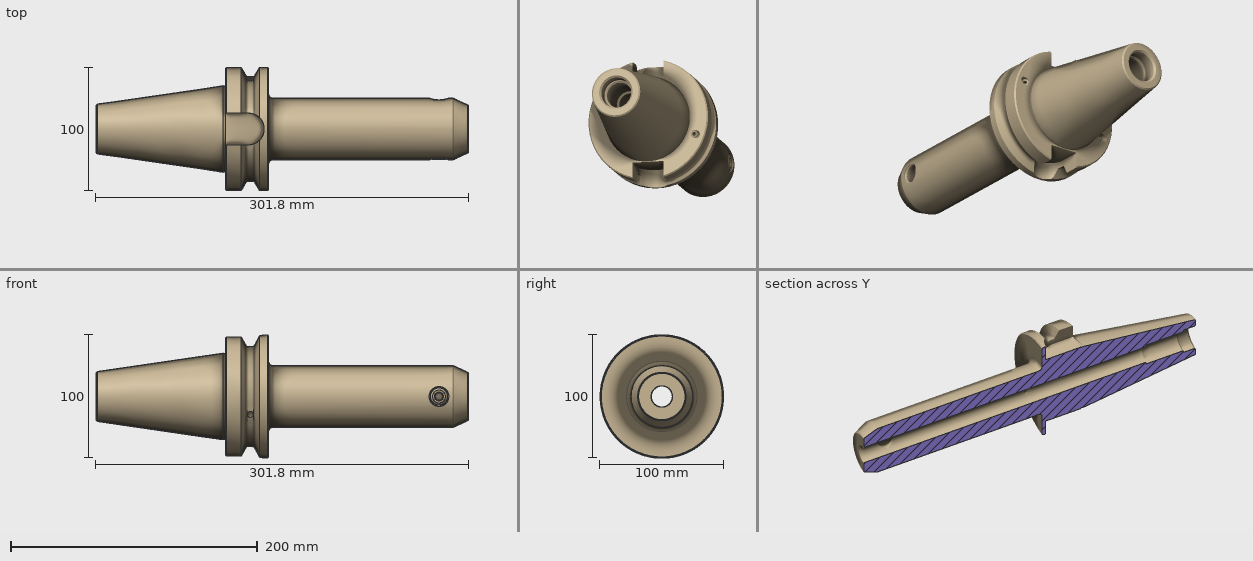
import cadquery as cq
import math


taper_length = 101.8
gauge_radius = 69.85 / 2
taper_slope = 7 / 24 / 2
taper_small_radius = gauge_radius - taper_length * taper_slope
taper_end_chamfer = 1.0
relief_start = 1.0
relief_floor_end = 2.0
relief_depth = 0.2
relief_edge_radius = gauge_radius + relief_start * taper_slope

flange_radius = 50.0
flange_start = 3.0
flange_end = 38.0
flange_chamfer = 1.0
groove_center = 23.2
groove_radius = 42.5
groove_floor_width = 6.2
groove_side_angle = 30.0
groove_corner_radius = 1.0
groove_half_floor = groove_floor_width / 2
groove_half_mouth = groove_half_floor + (flange_radius - groove_radius) * math.tan(
    math.radians(groove_side_angle)
)

slot_width = 25.7
slot_floor_height = 35.3
slot_end = 34.4

nose_length = 200.0
nose_radius = 25.0
nose_root_fillet = 3.5
nose_cone_start = 187.5
nose_shoulder_round = 1.5
nose_end_radius = 19.6
nose_end_chamfer = 0.8

bore_mouth_radius = 14.0
bore_mouth_chamfer = 1.5
pilot_radius = bore_mouth_radius - bore_mouth_chamfer
pilot_depth = 11.0
thread_radius = 10.5
thread_chamfer = 1.2
thread_depth = 45.0
tool_bore_radius = 8.5

coolant_angle = 20.0
coolant_circle_radius = 42.0
coolant_hole_diameter = 3.0
coolant_counterbore_diameter = 6.5
coolant_counterbore_depth = 2.0
coolant_tilt = 37.0
plug_hole_diameter = 5.0

screw_x = 176.0
screw_radius = 7.0
screw_hole_countersink_radius = 8.0
screw_countersink_depth = 1.3
screw_recess = 0.4
screw_end_chamfer = 1.8
hex_across_flats = 6.0
hex_depth = 6.0
socket_mouth_radius = 3.6


def holder_blank():
    """Solid of revolution: taper, flange and nose."""
    profile = (
        cq.Workplane("XZ")
        .moveTo(-taper_length, 0)
        .lineTo(-taper_length, taper_small_radius - taper_end_chamfer)
        .lineTo(-taper_length + taper_end_chamfer, taper_small_radius + taper_end_chamfer * taper_slope)
        .lineTo(relief_start, relief_edge_radius)
        .lineTo(relief_start, gauge_radius - relief_depth)
        .lineTo(relief_floor_end, gauge_radius - relief_depth)
        .lineTo(flange_start, gauge_radius)
        .lineTo(flange_start, flange_radius - flange_chamfer)
        .lineTo(flange_start + flange_chamfer, flange_radius)
        .lineTo(flange_end - flange_chamfer, flange_radius)
        .lineTo(flange_end, flange_radius - flange_chamfer)
        .lineTo(flange_end, nose_radius + nose_root_fillet)
        .radiusArc((flange_end + nose_root_fillet, nose_radius), -nose_root_fillet)
        .lineTo(nose_cone_start, nose_radius)
        .lineTo(nose_length - nose_end_chamfer, nose_end_radius)
        .lineTo(nose_length, nose_end_radius - nose_end_chamfer)
        .lineTo(nose_length, 0)
        .close()
    )
    blank = profile.revolve(360, (0, 0, 0), (1, 0, 0))
    shoulder = cq.selectors.BoxSelector(
        (nose_cone_start - nose_shoulder_round, -nose_radius, -nose_radius),
        (nose_cone_start + nose_shoulder_round, nose_radius, nose_radius),
    )
    return blank.edges("%CIRCLE").edges(shoulder).fillet(nose_shoulder_round)


def v_groove():
    """Ring with a trapezoid section and rounded floor corners."""
    ring = (
        cq.Workplane("XZ")
        .moveTo(groove_center - groove_half_mouth, flange_radius)
        .lineTo(groove_center - groove_half_floor, groove_radius)
        .lineTo(groove_center + groove_half_floor, groove_radius)
        .lineTo(groove_center + groove_half_mouth, flange_radius)
        .close()
        .revolve(360, (0, 0, 0), (1, 0, 0))
    )
    floor_edges = ring.edges(cq.selectors.RadiusNthSelector(0))
    return floor_edges.fillet(groove_corner_radius)


def drive_slot():
    """Upper drive slot, open to the taper side and round at its far end."""
    slot_center = slot_end - slot_width / 2
    floor = cq.Workplane("XY").workplane(offset=slot_floor_height)
    depth = flange_radius - slot_floor_height
    straight = floor.center(slot_center / 2, 0).rect(slot_center, slot_width).extrude(depth)
    rounded = floor.center(slot_center, 0).circle(slot_width / 2).extrude(depth)
    return straight.union(rounded)


def axial_bore():
    """Through bore: chamfered pilot, draw-bar thread and tool bore."""
    start = -taper_length
    pilot_end = start + pilot_depth
    thread_end = start + thread_depth
    return (
        cq.Workplane("XZ")
        .moveTo(start, 0)
        .lineTo(start, bore_mouth_radius)
        .lineTo(start + bore_mouth_chamfer, pilot_radius)
        .lineTo(pilot_end, pilot_radius)
        .lineTo(pilot_end, thread_radius + thread_chamfer)
        .lineTo(pilot_end + thread_chamfer, thread_radius)
        .lineTo(thread_end, thread_radius)
        .lineTo(thread_end, tool_bore_radius)
        .lineTo(nose_length, tool_bore_radius)
        .lineTo(nose_length, 0)
        .close()
        .revolve(360, (0, 0, 0), (1, 0, 0))
    )


def coolant_hole():
    """Counterbored hole sloping from the flange face, met by a radial hole from the groove floor.

    Built in the plane of +Y; the caller turns it about X.
    """
    tilt = math.radians(coolant_tilt)
    direction = cq.Vector(math.cos(tilt), -math.sin(tilt), 0)
    mouth = cq.Vector(flange_start, coolant_circle_radius, 0)
    lead_in = coolant_counterbore_diameter
    sloping = cq.Solid.makeCylinder(
        coolant_hole_diameter / 2, coolant_circle_radius / math.sin(tilt), mouth, direction
    )
    counterbore = cq.Solid.makeCylinder(
        coolant_counterbore_diameter / 2,
        lead_in + coolant_counterbore_depth,
        mouth - direction * lead_in,
        direction,
    )
    meeting_y = coolant_circle_radius - (groove_center - flange_start) * math.tan(tilt)
    radial = cq.Solid.makeCylinder(
        plug_hole_diameter / 2,
        flange_radius - meeting_y,
        cq.Vector(groove_center, meeting_y, 0),
        cq.Vector(0, 1, 0),
    )
    return cq.Workplane(sloping).union(cq.Workplane(counterbore)).union(cq.Workplane(radial))


def turned_along_y(points):
    """Revolve a (radius, y) outline about the set-screw axis."""
    outline = cq.Workplane("XY").polyline(points).close()
    return outline.revolve(360, (0, 0, 0), (0, 1, 0)).translate((screw_x, 0, 0))


def screw_hole():
    """Countersunk cross hole through both walls of the nose."""
    countersink_floor = nose_radius - screw_countersink_depth
    step = screw_hole_countersink_radius - screw_radius
    return turned_along_y(
        [
            (0, -nose_radius),
            (screw_hole_countersink_radius, -nose_radius),
            (screw_hole_countersink_radius, -countersink_floor),
            (screw_radius, -countersink_floor + step),
            (screw_radius, countersink_floor - step),
            (screw_hole_countersink_radius, countersink_floor),
            (screw_hole_countersink_radius, nose_radius),
            (0, nose_radius),
        ]
    )


def make_holder():
    """Tool holder body with its groove, bore, drive slots and side holes."""
    holder = holder_blank().cut(v_groove()).cut(axial_bore())
    slot = drive_slot()
    port = coolant_hole()
    for side_angle in (0, 180):
        holder = holder.cut(slot.rotate((0, 0, 0), (1, 0, 0), side_angle))
        holder = holder.cut(port.rotate((0, 0, 0), (1, 0, 0), coolant_angle + side_angle))
    return holder.cut(screw_hole())


def make_set_screw():
    """Side-lock screw with a hexagon socket, reaching from the nose surface to the tool bore."""
    outer_end = -nose_radius + screw_recess
    inner_end = -tool_bore_radius
    body = turned_along_y(
        [
            (0, inner_end),
            (screw_radius, inner_end),
            (screw_radius, outer_end + screw_end_chamfer),
            (screw_radius - screw_end_chamfer, outer_end),
            (0, outer_end),
        ]
    )
    socket = (
        cq.Workplane("XZ", origin=(screw_x, outer_end, 0))
        .polygon(6, hex_across_flats / math.cos(math.pi / 6))
        .extrude(-hex_depth)
    )
    socket_mouth = turned_along_y(
        [
            (0, outer_end),
            (socket_mouth_radius, outer_end),
            (0, outer_end + socket_mouth_radius),
        ]
    )
    return body.cut(socket).cut(socket_mouth)


holder = make_holder()
set_screw = make_set_screw()
result = cq.Compound.makeCompound([holder.val(), set_screw.val()])